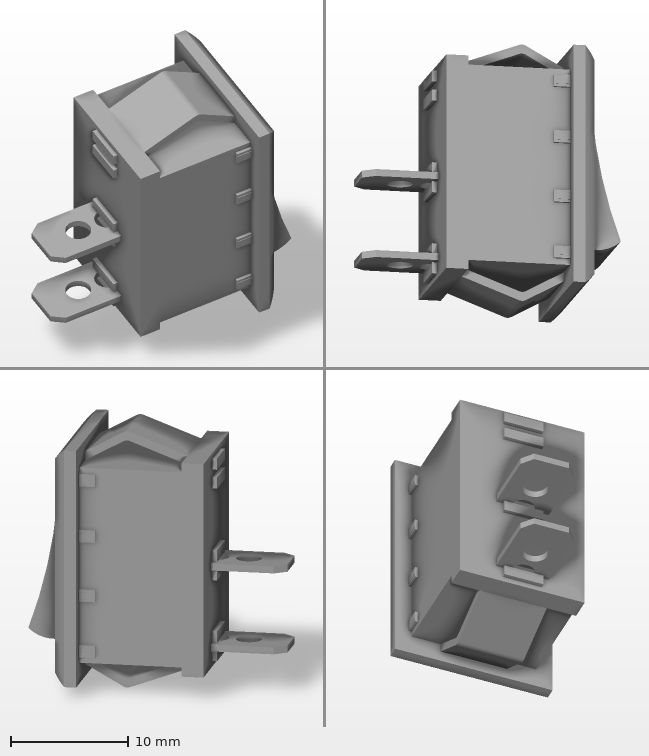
import cadquery as cq


bezel_width = 14.54
bezel_height = 20.8
bezel_thickness = 2.0
bevel = 0.97
bevel_bulge = 0.05

body_width = 11.5
body_height = 17.15
body_depth = 10.75
flange_height = 18.75
flange_thickness = 1.91
flange_front = flange_thickness - body_depth

clip_width = 6.1
clip_peak = 11.32
clip_peak_depth = 3.55
clip_round = 0.7

tab_centers = (7.52, 2.6, -2.6, -7.52)
tab_length = 1.45
tab_base_height = 1.05
tab_base_projection = 0.27
tab_ridge_height = 0.55
tab_ridge_projection = 0.32

pair_centers = (7.58, -0.47, -7.58)
pad_width = 3.6
pad_height = 0.97
pad_thickness = 0.4
pad_pitch = 1.66

terminal_centers = pair_centers[1:]
terminal_width = 4.85
terminal_thickness = 0.6
terminal_length = 6.48
tip_chamfer_width = 0.8
tip_chamfer_length = 1.04
terminal_hole_diameter = 2.2
terminal_hole_distance = 2.84

rocker_width = 9.3
rocker_top = 8.1
rocker_bottom = -6.86
rocker_tip_y = 4.65
rocker_tip_z = -6.0
face_mid_y = 2.68
face_mid_z = 1.24
end_round_start_y = 2.43
end_round_mid_y = 3.67
end_round_mid_z = -6.64


def box(width, y_rear, y_front, height, z_center=0):
    """Block centred on X that spans y_rear to y_front."""
    depth = y_front - y_rear
    center = (0, (y_rear + y_front) / 2, z_center)
    return cq.Workplane("XY").box(width, depth, height).translate(center)


def extrude_along_x(outline, width):
    """Extrude a closed YZ outline symmetrically about X = 0."""
    return outline.extrude(width / 2, both=True)


def bevelled_slab(plane, size, length):
    """Slab of the bezel thickness, bevelled at both ends of its size, extruded to a length."""
    half_size = size / 2
    front_half_size = half_size - bevel
    bevel_y = bezel_thickness - bevel
    mid_offset = bevel / 2 - bevel_bulge / 2**0.5
    mid_half_size = half_size - mid_offset
    mid_y = bezel_thickness - mid_offset
    return (
        cq.Workplane(plane)
        .moveTo(-half_size, 0)
        .lineTo(half_size, 0)
        .lineTo(half_size, bevel_y)
        .threePointArc((mid_half_size, mid_y), (front_half_size, bezel_thickness))
        .lineTo(-front_half_size, bezel_thickness)
        .threePointArc((-mid_half_size, mid_y), (-half_size, bevel_y))
        .close()
        .extrude(length / 2, both=True)
    )


def make_bezel():
    """Plate whose front rim has a slightly bowed bevel on all four sides."""
    side_bevels = bevelled_slab("XY", bezel_width, bezel_height)
    end_bevels = bevelled_slab("ZY", bezel_height, bezel_width)
    return side_bevels.intersect(end_bevels)


def make_body():
    """Main block with its taller flange at the rear."""
    block = box(body_width, -body_depth, 0, body_height)
    return block.union(box(body_width, -body_depth, flange_front, flange_height))


def make_clip():
    """Bent strip from the bezel over a rounded peak to the flange."""
    strip_drop = (flange_height - body_height) / 2
    outline = cq.Workplane("YZ").polyline([
        (0, flange_height / 2),
        (-clip_peak_depth, clip_peak),
        (flange_front, flange_height / 2),
        (flange_front, body_height / 2),
        (-clip_peak_depth, clip_peak - strip_drop),
        (0, body_height / 2),
    ]).close()
    strip = extrude_along_x(outline, clip_width)
    peak_edges = cq.selectors.BoxSelector(
        (-clip_width, -clip_peak_depth - 0.22, body_height / 2 + 0.22),
        (clip_width, -clip_peak_depth + 0.22, clip_peak + 0.22),
    )
    return strip.edges("|X").edges(peak_edges).fillet(clip_round)


def make_tab_pair(z_center):
    """Stepped grip tabs, one on each side of the body, as one bar through the body."""
    base = box(body_width + 2 * tab_base_projection, -tab_length, 0, tab_base_height, z_center)
    ridge = box(body_width + 2 * tab_ridge_projection, -tab_length, 0, tab_ridge_height, z_center)
    return base.union(ridge)


def make_pad(z_center):
    """Rectangular pad on the rear face."""
    return box(pad_width, -body_depth - pad_thickness, -body_depth, pad_height, z_center)


def make_rocker():
    """Rocker with a concave face and a rounded lower end, seated in the bezel."""
    outline = (
        cq.Workplane("YZ")
        .moveTo(0, rocker_top)
        .lineTo(bezel_thickness, rocker_top)
        .threePointArc((face_mid_y, face_mid_z), (rocker_tip_y, rocker_tip_z))
        .threePointArc((end_round_mid_y, end_round_mid_z), (end_round_start_y, rocker_bottom))
        .lineTo(0, rocker_bottom)
        .close()
    )
    return extrude_along_x(outline, rocker_width)


def make_housing():
    """Bezel, body, clips, tabs and pads in one piece, with the rocker opening."""
    clip = make_clip()
    part = make_body().union(make_bezel())
    part = part.union(clip).union(clip.mirror("XY"))
    for z_center in tab_centers:
        part = part.union(make_tab_pair(z_center))
    for pair_center in pair_centers:
        for side in (-1, 1):
            part = part.union(make_pad(pair_center + side * pad_pitch / 2))
    opening_height = rocker_top - rocker_bottom
    opening_center = (rocker_top + rocker_bottom) / 2
    return part.cut(box(rocker_width, 0, bezel_thickness, opening_height, opening_center))


def make_terminal(z_center):
    """Blade with a round hole and a half-round notch at the rear face."""
    half_width = terminal_width / 2
    tip_half_width = half_width - tip_chamfer_width
    tip_y = -body_depth - terminal_length
    chamfer_y = tip_y + tip_chamfer_length
    blade = (
        cq.Workplane("XY")
        .polyline([
            (-half_width, -body_depth),
            (half_width, -body_depth),
            (half_width, chamfer_y),
            (tip_half_width, tip_y),
            (-tip_half_width, tip_y),
            (-half_width, chamfer_y),
        ])
        .close()
        .extrude(terminal_thickness / 2, both=True)
    )
    holes = (
        cq.Workplane("XY")
        .pushPoints([(0, -body_depth), (0, -body_depth - terminal_hole_distance)])
        .circle(terminal_hole_diameter / 2)
        .extrude(terminal_thickness, both=True)
    )
    return blade.cut(holes).translate((0, 0, z_center))


housing = make_housing()
rocker = make_rocker()
terminals = [make_terminal(z_center) for z_center in terminal_centers]

result = cq.Compound.makeCompound([
    housing.val(),
    rocker.val(),
    *[terminal.val() for terminal in terminals],
])